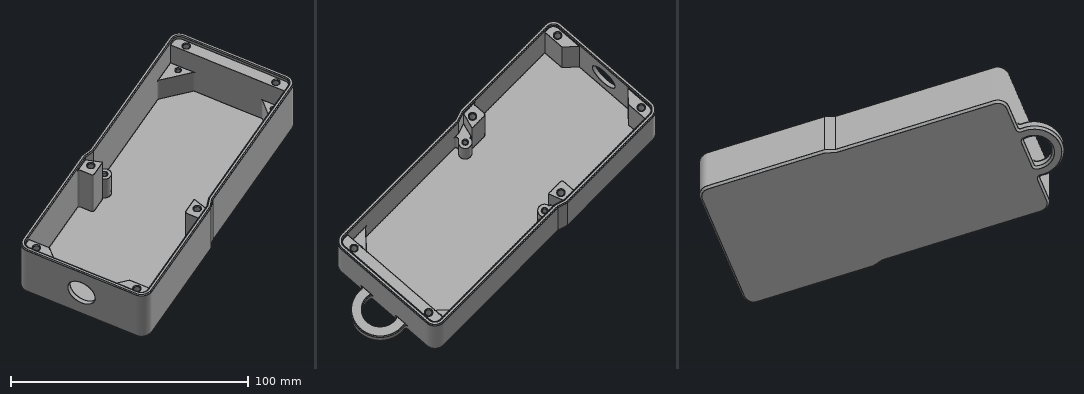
import cadquery as cq
import math

TOTAL_LENGTH = 153.0
BOX_HEIGHT = 27.5
WIDE_WIDTH = 62.0
NARROW_WIDTH = 59.0
BOX_LENGTH = 138.0
TAPER_START = 57.7
TAPER_END = 62.1
CORNER_RADIUS = 5.0
WALL = 2.0
FLOOR = 2.0
BOTTOM_CHAMFER = 1.0
RIM_CHAMFER = 0.5

LOOP_RADIUS = 12.5
LOOP_HOLE_RADIUS = 7.5
LOOP_ROOT_FILLET = 0.9
LOOP_THICKNESS = 5.0

CABLE_HOLE_DIAMETER = 13.0
CABLE_HOLE_HEIGHT = 14.4

LID_RECESS = 2.0
SHELF_DEPTH = 7.0
POST_INNER_X = 21.9
POST_REAR_FROM_FRONT = 59.8
POST_WALL_FROM_FRONT = 57.5
POST_FRONT_FROM_FRONT = 51.4
POST_FILLET = 1.0
FRONT_GUSSET_DEPTH = 7.2
FRONT_GUSSET_REAR_X = 19.1

GUSSET_SHELF_FILLET = 1.0
GUSSET_WALL_FILLET = 1.5
BOARD_HEIGHT = 14.0
REAR_GUSSET_X = 16.4
BOSS_X = 22.8
BOSS_RADIUS = 2.9
BOSS_FROM_FRONT = 63.2
BOSS_NECK_FROM_FRONT = 64.0
BOSS_NECK_FILLET = 0.9

LID_HOLE_DIAMETER = 2.8
BOARD_HOLE_DIAMETER = 2.0
BOARD_HOLE_TIP = 0.6
HOLE_CHAMFER = 0.4
HOLE_DEPTH = 9.2
REAR_LID_HOLE = (21.4, 4.5)
REAR_BOARD_HOLE_FROM_REAR = 9.2
POST_LID_HOLE = (25.4, 55.8)
FRONT_LID_HOLE = (24.0, 4.6)

FRONT_Y = -TOTAL_LENGTH / 2
REAR_Y = FRONT_Y + BOX_LENGTH
LOOP_Y = TOTAL_LENGTH / 2 - LOOP_RADIUS
LID_SUPPORT_Z = BOX_HEIGHT - LID_RECESS
SHELF_Y = REAR_Y - SHELF_DEPTH
WIDE_INNER_X = WIDE_WIDTH / 2 - WALL
NARROW_INNER_X = NARROW_WIDTH / 2 - WALL


def both_sides(right_half):
    """Join a feature at +X with its mirror image at -X."""
    return right_half.union(right_half.mirror("YZ"))


def plan_prism(points, bottom, top):
    """Closed outline in X and Y, extruded between two heights."""
    return cq.Workplane("XY").workplane(offset=bottom).polyline(points).close().extrude(top - bottom)


def stepped_prism(inset, bottom, top):
    """Box outline moved inwards by inset, extruded with rounded end corners."""
    wide = WIDE_WIDTH / 2 - inset
    narrow = NARROW_WIDTH / 2 - inset
    right_points = [
        (wide, FRONT_Y + inset),
        (wide, FRONT_Y + TAPER_START),
        (narrow, FRONT_Y + TAPER_END),
        (narrow, REAR_Y - inset),
    ]
    left_points = [(-x, y) for x, y in reversed(right_points)]
    prism = plan_prism(right_points + left_points, bottom, top)
    corners = prism.edges("|Z and (<Y or >Y)")
    return corners.fillet(CORNER_RADIUS - inset)


def fillet_uprights(body, x, y, radius):
    """Round the vertical edges that stand at (x, y) and (-x, y)."""
    reach = 0.2
    for side_x in (x, -x):
        near = cq.selectors.BoxSelector(
            (side_x - reach, y - reach, 0), (side_x + reach, y + reach, BOX_HEIGHT)
        )
        body = body.edges("|Z").edges(near).fillet(radius)
    return body


def make_loop():
    """Hanging loop, blended into the rear face and trimmed inside the rear wall."""
    ring = (
        cq.Workplane("XY").center(0, LOOP_Y)
        .circle(LOOP_RADIUS).circle(LOOP_HOLE_RADIUS)
        .extrude(LOOP_THICKNESS)
    )
    root_x = NARROW_WIDTH / 2 - CORNER_RADIUS
    root_y = REAR_Y - TOTAL_LENGTH
    root = plan_prism(
        [(-root_x, root_y), (root_x, root_y), (root_x, REAR_Y), (-root_x, REAR_Y)],
        0, LOOP_THICKNESS,
    )
    loop = ring.union(root)
    for radius in (LOOP_RADIUS, LOOP_HOLE_RADIUS):
        joint_x = math.sqrt(radius**2 - (LOOP_Y - REAR_Y) ** 2)
        loop = fillet_uprights(loop, joint_x, REAR_Y, LOOP_ROOT_FILLET)
    loop = loop.faces(">Z").chamfer(RIM_CHAMFER)
    loop = loop.faces("<Z").chamfer(BOTTOM_CHAMFER)
    behind_cavity = cq.Workplane("XY").box(TOTAL_LENGTH, TOTAL_LENGTH, TOTAL_LENGTH)
    return loop.intersect(behind_cavity.translate((0, REAR_Y - WALL + TOTAL_LENGTH / 2, 0)))


def make_shell():
    outer = stepped_prism(0, 0, BOX_HEIGHT).faces("<Z").chamfer(BOTTOM_CHAMFER)
    shell = outer.cut(stepped_prism(WALL, FLOOR, BOX_HEIGHT))
    shell = shell.faces(">Z").chamfer(RIM_CHAMFER)
    return shell.union(make_loop())


def make_shelf():
    half_width = NARROW_WIDTH / 2
    return plan_prism(
        [(-half_width, SHELF_Y), (half_width, SHELF_Y), (half_width, REAR_Y), (-half_width, REAR_Y)],
        FLOOR, LID_SUPPORT_Z,
    )


def make_post():
    outer_x = WIDE_WIDTH / 2
    post = plan_prism(
        [
            (POST_INNER_X, FRONT_Y + POST_FRONT_FROM_FRONT),
            (outer_x, FRONT_Y + POST_FRONT_FROM_FRONT),
            (outer_x, FRONT_Y + POST_WALL_FROM_FRONT),
            (WIDE_INNER_X, FRONT_Y + POST_WALL_FROM_FRONT),
            (POST_INNER_X, FRONT_Y + POST_REAR_FROM_FRONT),
        ],
        FLOOR, LID_SUPPORT_Z,
    )
    return post.edges("|Z and <X and <Y").fillet(POST_FILLET)


def make_front_gusset():
    outer_x = WIDE_WIDTH / 2
    rear_y = FRONT_Y + FRONT_GUSSET_DEPTH
    return plan_prism(
        [
            (FRONT_GUSSET_REAR_X - FRONT_GUSSET_DEPTH, FRONT_Y),
            (outer_x, FRONT_Y),
            (outer_x, rear_y),
            (FRONT_GUSSET_REAR_X, rear_y),
        ],
        FLOOR, LID_SUPPORT_Z,
    )


def make_rear_gusset():
    outer_x = NARROW_WIDTH / 2
    return plan_prism(
        [
            (REAR_GUSSET_X, SHELF_Y),
            (outer_x, SHELF_Y),
            (outer_x, SHELF_Y - (outer_x - REAR_GUSSET_X)),
        ],
        FLOOR, BOARD_HEIGHT,
    )


def make_boss():
    boss_y = FRONT_Y + BOSS_FROM_FRONT
    boss = (
        cq.Workplane("XY").workplane(offset=FLOOR).center(BOSS_X, boss_y)
        .circle(BOSS_RADIUS).extrude(BOARD_HEIGHT - FLOOR)
    )
    web_front_y = FRONT_Y + POST_FRONT_FROM_FRONT + POST_FILLET
    web_rear_y = FRONT_Y + BOSS_NECK_FROM_FRONT
    outer_x = WIDE_WIDTH / 2
    web = plan_prism(
        [(BOSS_X, web_front_y), (outer_x, web_front_y), (outer_x, web_rear_y), (BOSS_X, web_rear_y)],
        FLOOR, BOARD_HEIGHT,
    )
    return boss.union(web)


def screw_hole(position, diameter, top, tip_depth=0):
    """Blind hole with a chamfered mouth, flat unless given a conical tip, as a solid to cut away."""
    x, y = position
    radius = diameter / 2
    mouth = radius + HOLE_CHAMFER
    half_profile = [
        (0, top - HOLE_DEPTH - tip_depth),
        (radius, top - HOLE_DEPTH),
        (radius, top - HOLE_CHAMFER),
        (mouth, top),
        (0, top),
    ]
    tool = cq.Workplane("XZ").polyline(half_profile).close().revolve(360, (0, 0), (0, 1))
    return tool.translate((x, y, 0))


def fillet_supports(body):
    """Round the upright corners where the supports meet the walls, the shelf and each other."""
    gusset_end_y = SHELF_Y - (NARROW_INNER_X - REAR_GUSSET_X)
    neck_y = FRONT_Y + BOSS_NECK_FROM_FRONT
    neck_x = BOSS_X + math.sqrt(BOSS_RADIUS**2 - (BOSS_NECK_FROM_FRONT - BOSS_FROM_FRONT) ** 2)
    body = fillet_uprights(body, WIDE_INNER_X, FRONT_Y + POST_FRONT_FROM_FRONT, POST_FILLET)
    body = fillet_uprights(body, REAR_GUSSET_X, SHELF_Y, GUSSET_SHELF_FILLET)
    body = fillet_uprights(body, NARROW_INNER_X, gusset_end_y, GUSSET_WALL_FILLET)
    for x in (neck_x, NARROW_INNER_X):
        body = fillet_uprights(body, x, neck_y, BOSS_NECK_FILLET)
    return body


def cut_screw_holes(body):
    lid_holes = [
        (REAR_LID_HOLE[0], REAR_Y - REAR_LID_HOLE[1]),
        (POST_LID_HOLE[0], FRONT_Y + POST_LID_HOLE[1]),
        (FRONT_LID_HOLE[0], FRONT_Y + FRONT_LID_HOLE[1]),
    ]
    board_holes = [
        (BOSS_X, REAR_Y - REAR_BOARD_HOLE_FROM_REAR),
        (BOSS_X, FRONT_Y + BOSS_FROM_FRONT),
    ]
    for position in lid_holes:
        hole = screw_hole(position, LID_HOLE_DIAMETER, LID_SUPPORT_Z)
        body = body.cut(both_sides(hole))
    for position in board_holes:
        hole = screw_hole(position, BOARD_HOLE_DIAMETER, BOARD_HEIGHT, BOARD_HOLE_TIP)
        body = body.cut(both_sides(hole))
    return body


def cable_hole():
    return (
        cq.Workplane("XZ", origin=(0, FRONT_Y + WALL, CABLE_HOLE_HEIGHT))
        .circle(CABLE_HOLE_DIAMETER / 2)
        .extrude(WALL)
    )


supports = make_post().union(make_front_gusset()).union(make_rear_gusset()).union(make_boss())
supports = both_sides(supports).union(make_shelf())
supports = supports.intersect(stepped_prism(WALL / 2, 0, BOX_HEIGHT))

result = fillet_supports(make_shell().union(supports))
result = cut_screw_holes(result).cut(cable_hole())